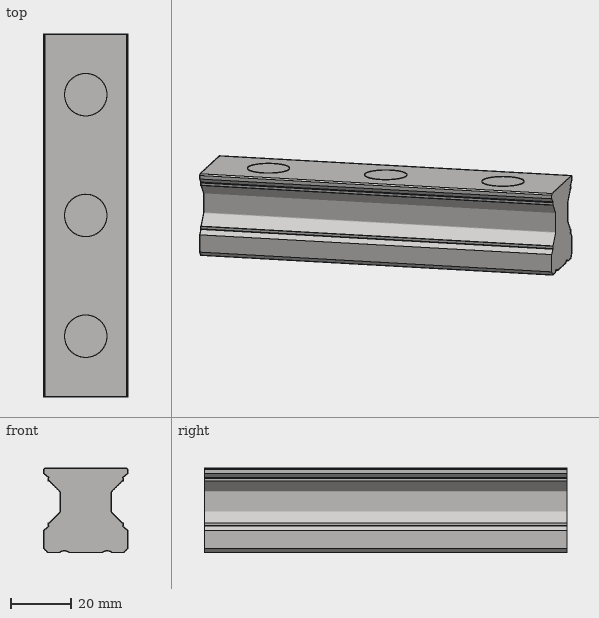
import cadquery as cq

length = 120.0
width = 28.0
height = 28.0
half_width = width / 2

waist_height = 16.8
web_half_width = 8.5
web_half_height = 3.4
web_fillet = 0.5
lip_half_height = 9.5

strip_face_x = 12.5
strip_inner_half_height = 7.0
strip_outer_half_height = 7.8
undercut = 0.2

top_chamfer = 0.5
base_chamfer = 1.5

relief_offset = 7.1
relief_width = 3.2
relief_depth = 0.6

recess_diameter = 14.0
recess_depth = 0.1
recess_pitch = 40.0
recess_count = 3

margin = 0.1


def groove_half():
    """(x, distance from waist) points of one half of a flank groove, from the web outwards."""
    slope_end_x = web_half_width + strip_inner_half_height - web_half_height
    return [
        (web_half_width, web_half_height),
        (slope_end_x, strip_inner_half_height),
        (strip_face_x, strip_inner_half_height),
        (strip_face_x, strip_outer_half_height),
        (strip_face_x - undercut, strip_outer_half_height + undercut),
        (half_width, lip_half_height),
    ]


def flank():
    """(x, z) points of the right flank from the underside up to the top face."""
    half = groove_half()
    below_waist = [(x, waist_height - rise) for x, rise in reversed(half)]
    above_waist = [(x, waist_height + rise) for x, rise in half]
    base = [(half_width - base_chamfer, 0), (half_width, base_chamfer)]
    top = [(half_width, height - top_chamfer), (half_width - top_chamfer, height)]
    return base + below_waist + above_waist + top


def rail_body():
    right = flank()
    left = [(-x, z) for x, z in reversed(right)]
    section = cq.Workplane("XZ").polyline(right + left).close()
    body = section.extrude(length / 2, both=True)

    web_corners = cq.selectors.BoxSelector(
        (-web_half_width - margin, -margin, waist_height - web_half_height - margin),
        (web_half_width + margin, margin, waist_height + web_half_height + margin),
    )
    return body.edges(web_corners).fillet(web_fillet)


def relief_groove(x):
    """Shallow arc-shaped channel running the full length of the underside."""
    section = (
        cq.Workplane("XZ")
        .moveTo(x - relief_width / 2, 0)
        .threePointArc((x, relief_depth), (x + relief_width / 2, 0))
        .close()
    )
    return section.extrude(length / 2, both=True)


def top_recesses():
    return (
        cq.Workplane("XY", origin=(0, 0, height - recess_depth))
        .rarray(1.2, recess_pitch, 1, recess_count)
        .circle(recess_diameter / 2)
        .extrude(recess_depth)
    )


result = rail_body()
for side in (-1, 1):
    result = result.cut(relief_groove(side * relief_offset))
result = result.cut(top_recesses())